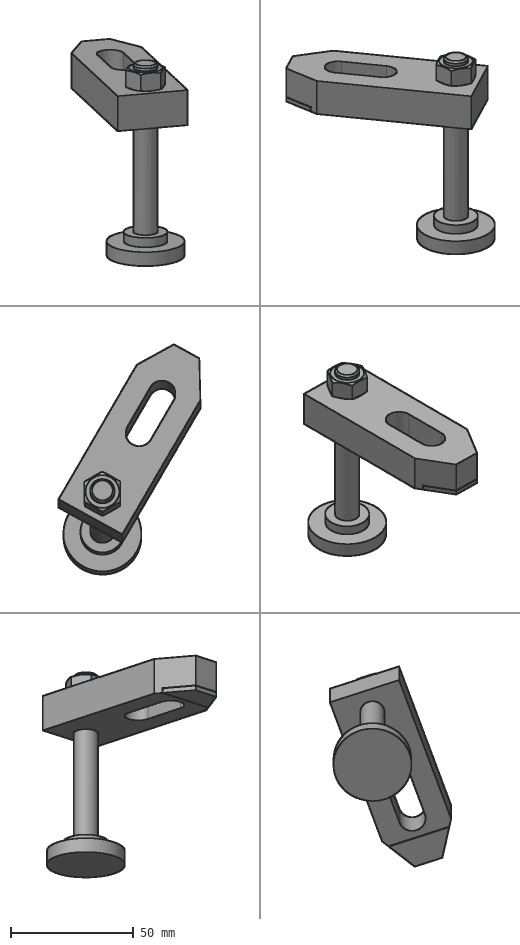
import cadquery as cq
import math

arm_length = 80.0
arm_width = 30.0
arm_thickness = 15.0
arm_bottom = 57.0
nose_length = 15.0
nose_tip_width = 12.0
screw_to_nose = 70.0

arm_top = arm_bottom + arm_thickness
nose_x = -screw_to_nose
shoulder_x = nose_x + nose_length
tail_x = nose_x + arm_length

slot_length = 30.0
slot_width = 11.0

parting_length = 12.0
parting_height = 2.0
pad_gap = 0.2

pad_length = parting_length - pad_gap / 2
pad_height = parting_height - pad_gap / 2
seat_length = parting_length + pad_gap / 2
seat_height = parting_height + pad_gap / 2

screw_diameter = 10.0
screw_chamfer = 0.8
screw_top = 82.0
foot_diameter = 32.0
foot_height = 6.0
collar_diameter = 18.0
collar_height = 4.0
nut_across_corners = 17.0
nut_height = 8.0
nut_face_diameter = 13.8
nut_chamfer_angle = 20.0


def extrude_arm_outline(height):
    """Arm outline with its tapered nose, extruded upward from the arm's underside."""
    half_width = arm_width / 2
    half_tip = nose_tip_width / 2
    outline = [
        (nose_x, -half_tip),
        (shoulder_x, -half_width),
        (tail_x, -half_width),
        (tail_x, half_width),
        (shoulder_x, half_width),
        (nose_x, half_tip),
    ]
    return cq.Workplane("XY", origin=(0, 0, arm_bottom)).polyline(outline).close().extrude(height)


def make_nose_block(length, height):
    """Block as wide as the arm, reaching back from the nose tip and up from the underside."""
    block = cq.Workplane("XY").box(length, arm_width, height, centered=(False, True, False))
    return block.translate((nose_x, 0, arm_bottom))


def make_arm():
    """Arm with the slot, the screw hole and the seat for the pad."""
    slot_center_x = shoulder_x + slot_length / 2
    slot = (
        cq.Workplane("XY", origin=(slot_center_x, 0, arm_bottom))
        .slot2D(slot_length, slot_width)
        .extrude(arm_thickness)
    )
    screw_hole = (
        cq.Workplane("XY", origin=(0, 0, arm_bottom))
        .circle(screw_diameter / 2)
        .extrude(arm_thickness)
    )
    seat = make_nose_block(seat_length, seat_height)
    return extrude_arm_outline(arm_thickness).cut(slot).cut(screw_hole).cut(seat)


def make_pad():
    """Pad whose sides are flush with the tapered nose."""
    return extrude_arm_outline(pad_height).intersect(make_nose_block(pad_length, pad_height))


def make_nut():
    """Hexagon resting on the arm, chamfered top and bottom, with two corners on the Y axis."""
    corner_radius = nut_across_corners / 2
    face_radius = nut_face_diameter / 2
    chamfer_height = (corner_radius - face_radius) * math.tan(math.radians(nut_chamfer_angle))
    hexagon = cq.Workplane("XY").polygon(6, nut_across_corners).extrude(nut_height)
    hexagon = hexagon.rotate((0, 0, 0), (0, 0, 1), 90)
    half_profile = [
        (0, 0),
        (face_radius, 0),
        (corner_radius, chamfer_height),
        (corner_radius, nut_height - chamfer_height),
        (face_radius, nut_height),
        (0, nut_height),
    ]
    cone_envelope = cq.Workplane("XZ").polyline(half_profile).close().revolve(360, (0, 0), (0, 1))
    return hexagon.intersect(cone_envelope).translate((0, 0, arm_top))


def make_screw():
    """Foot disc, collar, shank with a chamfered end, and the nut."""
    foot = cq.Workplane("XY").circle(foot_diameter / 2).extrude(foot_height)
    collar = cq.Workplane("XY").circle(collar_diameter / 2).extrude(foot_height + collar_height)
    shank = cq.Workplane("XY").circle(screw_diameter / 2).extrude(screw_top)
    shank = shank.faces(">Z").chamfer(screw_chamfer)
    return foot.union(collar).union(shank).union(make_nut())


arm = make_arm()
pad = make_pad()
screw = make_screw()

result = cq.Compound.makeCompound([arm.solids().val(), pad.solids().val(), screw.solids().val()])